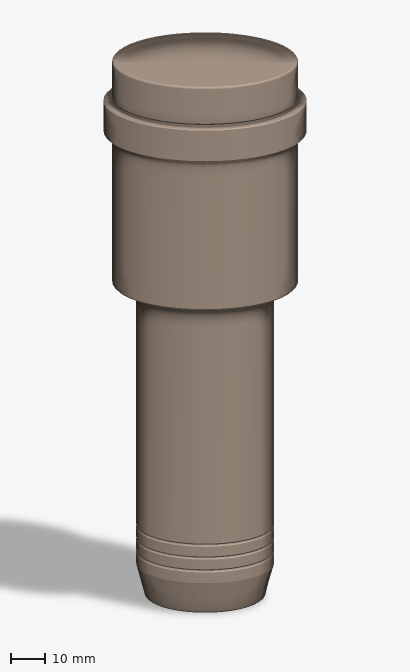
import cadquery as cq
import math

total_height = 163.0
head_diameter = 54.0
head_radius = head_diameter / 2
head_length = 68.0
collar_radius = 29.5
collar_length = 10.0
collar_drop = 12.0
shaft_radius = 20.0

edge_chamfer = 0.5
top_round = 0.7
collar_chamfer = 0.3

collar_relief_depth = 0.5
collar_relief_width = 1.0
neck_relief_depth = 0.8
neck_relief_width = 0.8

tip_length = 10.0
tip_angle = 15.0
groove_count = 3
groove_pitch = 3.9
groove_width = 1.0
groove_depth = 0.5
first_groove_height = 13.7

collar_top = total_height - collar_drop
collar_bottom = collar_top - collar_length
head_bottom = total_height - head_length
tip_radius = shaft_radius - tip_length * math.tan(math.radians(tip_angle))


def cylinder(radius, bottom, top):
    return cq.Workplane("XY").workplane(offset=bottom).circle(radius).extrude(top - bottom)


def ring_cutter(profile):
    """Ring of material to remove, from a closed outline of (radius, height) points."""
    return cq.Workplane("XZ").polyline(profile).close().revolve(360, (0, 0), (0, 1))


def vee_groove(radius, depth, middle, width):
    """Cutter for a V-shaped ring groove."""
    return ring_cutter([
        (radius - depth, middle),
        (radius, middle + width / 2),
        (radius + depth, middle + width / 2),
        (radius + depth, middle - width / 2),
        (radius, middle - width / 2),
    ])


head = cylinder(head_radius, head_bottom, total_height)
head = head.faces(">Z").edges().fillet(top_round)
head = head.faces("<Z").edges().chamfer(edge_chamfer)
for relief_middle in (collar_top + collar_relief_width / 2, collar_bottom - collar_relief_width / 2):
    head = head.cut(vee_groove(head_radius, collar_relief_depth, relief_middle, collar_relief_width))

collar = cylinder(collar_radius, collar_bottom, collar_top).edges().chamfer(collar_chamfer)

shaft = cylinder(shaft_radius, tip_length, head_bottom)
neck_bottom = head_bottom - neck_relief_width
neck_radius = shaft_radius - neck_relief_depth
shaft = shaft.cut(ring_cutter([
    (neck_radius, neck_bottom),
    (shaft_radius, neck_bottom),
    (shaft_radius, head_bottom),
    (neck_radius, head_bottom),
]))
for index in range(groove_count):
    groove_middle = first_groove_height + index * groove_pitch
    shaft = shaft.cut(vee_groove(shaft_radius, groove_depth, groove_middle, groove_width))

tip = (
    cq.Workplane("XZ")
    .polyline([(0, 0), (tip_radius, 0), (shaft_radius, tip_length), (0, tip_length)])
    .close()
    .revolve(360, (0, 0), (0, 1))
    .faces("<Z")
    .edges()
    .chamfer(edge_chamfer)
)

result = head.union(collar).union(shaft).union(tip)